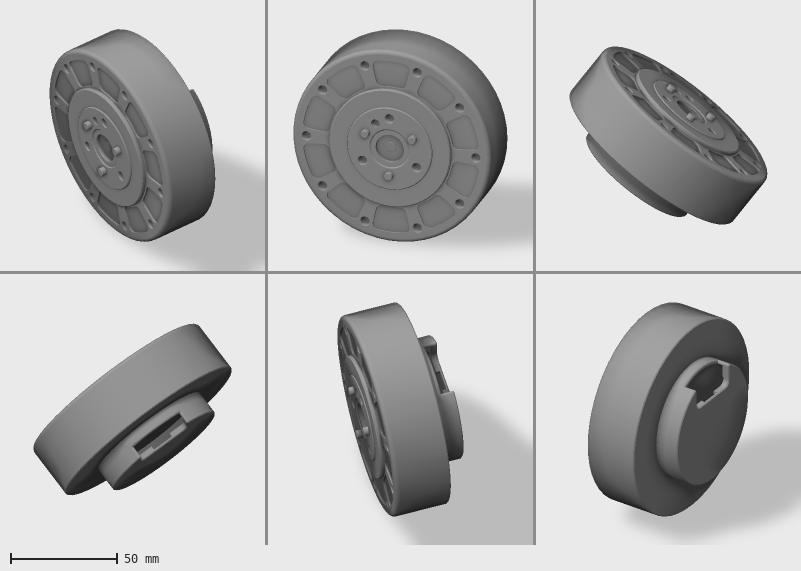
import cadquery as cq
import math


body_diameter = 98.0
cover_diameter = 60.0
body_rear_at = 12.0
body_length = 27.0
flange_height = 2.0
front_edge_radius = 2.0
edge_chamfer = 0.5
bevel_angle = 45.0

hub_diameter = 42.0
hub_height = 0.5
hub_bevel = 0.4
hub_gap_diameter = 42.4
hub_gap_depth = 0.5
hub_recess_diameter = 20.0
hub_recess_depth = 0.5
bore_diameter = 14.0
bore_depth = 2.0
shaft_diameter = 5.0
shaft_height = 0.2
shaft_chamfer = 0.1

pin_diameter = 4.0
pin_length = 2.5
pin_chamfer = 0.3
pin_circle_radius = 13.5
pin_count = 3
pin_first_angle = 30.0
hole_diameter = 4.2
hole_mouth_diameter = 4.8
hole_depth = 6.0
hub_hole_circle_radius = 15.5
hub_hole_count = 3
hub_hole_first_angle = 90.0
plain_hole_circle_radius = 14.0
plain_hole_angle = 120.0
rim_hole_circle_radius = 42.0
rim_count = 10
rim_pitch = 360.0 / rim_count

pocket_inner_radius = 30.8
pocket_outer_radius = 44.0
pocket_half_angle = 12.8
pocket_corner_radius = 3.0
pocket_depth = 1.0

cavity_diameter = 56.6
cavity_start_at = 3.6
inner_recess_diameter = 46.0
inner_recess_start_at = 1.2

opening_width = 26.9
opening_depth = 6.3
opening_edge_radius = 1.0
socket_floor_height = 15.0
socket_corner_radius = 3.0
socket_wall_thickness = 1.5
socket_wall_end_at = 3.1
cable_slot_width = 10.5

window_bottom_height = socket_floor_height + socket_corner_radius
body_front_at = body_rear_at + body_length
flange_front_at = body_front_at + flange_height
hub_front_at = flange_front_at + hub_height
recess_floor_at = hub_front_at - hub_recess_depth
bore_floor_at = recess_floor_at - bore_depth


def plane_at(distance):
    """Sketch plane across the axis: local x is X, local y is Z, normal is -Y."""
    return cq.Workplane("XZ", origin=(0, -distance, 0))


def disc(diameter, start, end):
    """Solid disc on the motor axis between two distances from the rear face."""
    return plane_at(start).circle(diameter / 2).extrude(end - start)


def polar(radius, angle):
    """Sketch point at a radius and an angle in degrees, counted from +X towards +Z."""
    turn = math.radians(angle)
    return (radius * math.cos(turn), radius * math.sin(turn))


def circle_points(radius, count, first_angle):
    """Evenly spaced sketch points around the axis."""
    return [polar(radius, first_angle + i * 360.0 / count) for i in range(count)]


def block(width, bottom, top, start, end):
    """Box centred on X, between two Z heights and two distances along the axis."""
    centre = (bottom + top) / 2
    return plane_at(start).center(0, centre).rect(width, top - bottom).extrude(end - start)


def socket_block(half_width, floor_height, corner_radius, end_at):
    """Upright block with rounded lower corners, reaching from the rear face to end_at."""
    socket = block(2 * half_width, floor_height, cover_diameter / 2, 0, end_at)
    return socket.edges("|Y and <Z").fillet(corner_radius)


def rear_cover():
    """Hollow round cover with a connector socket that opens through its rear and its top."""
    half_width = opening_width / 2
    cover = disc(cover_diameter, 0, body_rear_at)
    cover = cover.cut(disc(cavity_diameter, cavity_start_at, body_rear_at))
    recess = disc(inner_recess_diameter, inner_recess_start_at, cavity_start_at)

    socket_wall = socket_block(
        half_width + socket_wall_thickness,
        socket_floor_height - socket_wall_thickness,
        socket_corner_radius + socket_wall_thickness,
        socket_wall_end_at,
    )
    cable_slot = block(cable_slot_width, 0, socket_floor_height, inner_recess_start_at, socket_wall_end_at)
    cover = cover.cut(recess.cut(socket_wall.cut(cable_slot)))

    socket = socket_block(half_width, socket_floor_height, socket_corner_radius, cavity_start_at)
    window = block(opening_width, window_bottom_height, cover_diameter / 2, 0, opening_depth)
    cover = cover.cut(socket).cut(window)

    window_end_height = math.sqrt(cover_diameter**2 / 4 - half_width**2)
    window_edge_points = [
        (-half_width, -opening_depth / 2, window_end_height),
        (half_width, -opening_depth / 2, window_end_height),
        (0, -opening_depth, cover_diameter / 2),
    ]
    window_edges = cq.Workplane()
    for point in window_edge_points:
        window_edges = window_edges.add(cover.edges(cq.selectors.NearestToPointSelector(point)))
    cover = cover.newObject(window_edges.vals()).fillet(opening_edge_radius)
    return cover.faces(">Y").edges().chamfer(edge_chamfer)


def main_body():
    """Large body with a rounded front edge, and the flange in front of it."""
    body = disc(body_diameter, body_rear_at, body_front_at)
    body = body.faces("<Y").edges().fillet(front_edge_radius)
    body = body.faces(">Y").edges().chamfer(edge_chamfer)
    flange = disc(cover_diameter, body_front_at, flange_front_at)
    flange = flange.faces("<Y").edges().chamfer(edge_chamfer)
    return body.union(flange)


def hub_seat():
    """Shallow seat in the flange, slightly wider than the hub so that a gap stays around it."""
    return disc(hub_gap_diameter, flange_front_at - hub_gap_depth, flange_front_at)


def output_hub():
    """Hub disc with a bevelled front rim."""
    hub = disc(hub_diameter, flange_front_at - hub_gap_depth, hub_front_at)
    return hub.faces("<Y").edges().chamfer(hub_bevel)


def hub_bore():
    """Conical recess in the hub face and the deeper bore, around the end of the shaft."""
    recess = plane_at(hub_front_at).circle(hub_recess_diameter / 2)
    recess = recess.extrude(-hub_recess_depth, taper=bevel_angle)
    bore = disc(bore_diameter, bore_floor_at, hub_front_at)
    shaft = disc(shaft_diameter, bore_floor_at, bore_floor_at + shaft_height)
    shaft = shaft.faces("<Y").edges().chamfer(shaft_chamfer)
    return recess.union(bore).cut(shaft)


def pins():
    """Drive pins standing on the hub face, with bevelled tips."""
    points = circle_points(pin_circle_radius, pin_count, pin_first_angle)
    group = plane_at(hub_front_at).pushPoints(points).circle(pin_diameter / 2)
    group = group.extrude(pin_length)
    return group.faces("<Y").edges().chamfer(pin_chamfer)


def bevelled_holes(front_at, points):
    """Blind holes from a front face, each with a bevel at its mouth."""
    bevel_depth = (hole_mouth_diameter - hole_diameter) / 2
    holes = plane_at(front_at).pushPoints(points).circle(hole_diameter / 2).extrude(-hole_depth)
    mouths = plane_at(front_at).pushPoints(points).circle(hole_mouth_diameter / 2)
    mouths = mouths.extrude(-bevel_depth, taper=bevel_angle)
    return holes.union(mouths)


def plain_hole():
    """Single blind hole in the hub face, without a bevel."""
    centre = polar(plain_hole_circle_radius, plain_hole_angle)
    return plane_at(hub_front_at).center(*centre).circle(hole_diameter / 2).extrude(-hole_depth)


def rim_pocket(angle):
    """Shallow pocket bounded by two arcs and two radial sides, with rounded corners."""
    start = angle - pocket_half_angle
    end = angle + pocket_half_angle
    pocket = (
        plane_at(body_front_at - pocket_depth)
        .moveTo(*polar(pocket_inner_radius, start))
        .lineTo(*polar(pocket_outer_radius, start))
        .threePointArc(polar(pocket_outer_radius, angle), polar(pocket_outer_radius, end))
        .lineTo(*polar(pocket_inner_radius, end))
        .threePointArc(polar(pocket_inner_radius, angle), polar(pocket_inner_radius, start))
        .close()
        .extrude(pocket_depth)
    )
    return pocket.edges("|Y").fillet(pocket_corner_radius)


result = rear_cover().union(main_body()).cut(hub_seat()).union(output_hub())
result = result.cut(hub_bore()).cut(plain_hole()).union(pins())

hub_hole_points = circle_points(hub_hole_circle_radius, hub_hole_count, hub_hole_first_angle)
result = result.cut(bevelled_holes(hub_front_at, hub_hole_points))
rim_hole_points = circle_points(rim_hole_circle_radius, rim_count, 0)
result = result.cut(bevelled_holes(body_front_at, rim_hole_points))

for i in range(rim_count):
    result = result.cut(rim_pocket(i * rim_pitch + rim_pitch / 2))